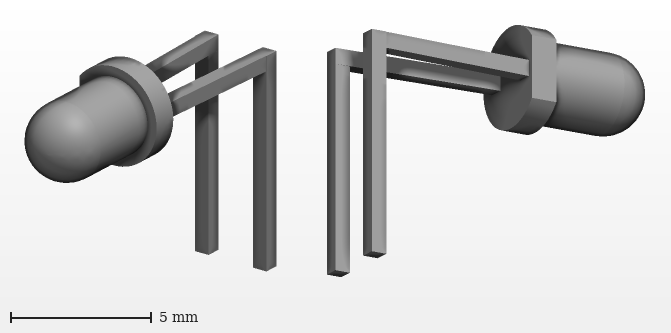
import cadquery as cq

total_length = 11.95
lens_diameter = 3.0
lens_radius = lens_diameter / 2
barrel_length = 2.81
flange_radius = 1.9
flange_thickness = 1.0
lead_width = 0.6
lead_drop = 8.0
lead_pitch = 2.55
lead_root_pitch = 2.0

barrel_start = lens_radius
flange_front = barrel_start + barrel_length
flange_back = flange_front + flange_thickness
bend_front = total_length - lead_width


def make_lens():
    """Round barrel with a hemispherical tip, revolved about the Y axis."""
    dome_mid = lens_radius * 0.5**0.5
    return (
        cq.Workplane("XY")
        .moveTo(0, 0)
        .threePointArc((dome_mid, lens_radius - dome_mid), (lens_radius, barrel_start))
        .lineTo(lens_radius, flange_front)
        .lineTo(0, flange_front)
        .close()
        .revolve(360, (0, 0, 0), (0, 1, 0))
    )


def make_flange():
    """Collar with a flat on -X, tangent to the barrel."""
    flange = (
        cq.Workplane("XZ", origin=(0, flange_front, 0))
        .circle(flange_radius)
        .extrude(-flange_thickness)
    )
    keep_width = lens_radius + flange_radius
    keep = cq.Workplane("XY").box(
        keep_width, total_length, 2 * flange_radius, centered=(False, False, True)
    ).translate((-lens_radius, 0, 0))
    return flange.intersect(keep)


def make_lead(side):
    """Bent square lead that splays outward from the flange, side is -1 or +1."""
    half_width = lead_width / 2
    root_x = side * lead_root_pitch / 2
    tip_x = side * lead_pitch / 2
    arm = (
        cq.Workplane("XY", origin=(0, 0, -half_width))
        .polyline([
            (root_x - half_width, flange_back),
            (root_x + half_width, flange_back),
            (tip_x + half_width, total_length),
            (tip_x - half_width, total_length),
        ])
        .close()
        .extrude(lead_width)
    )
    leg = (
        cq.Workplane("XY")
        .box(lead_width, lead_width, lead_drop + half_width, centered=(True, False, False))
        .translate((tip_x, bend_front, -lead_drop))
    )
    return arm.union(leg)


result = make_lens().union(make_flange())
for lead_side in (-1, 1):
    result = result.union(make_lead(lead_side))